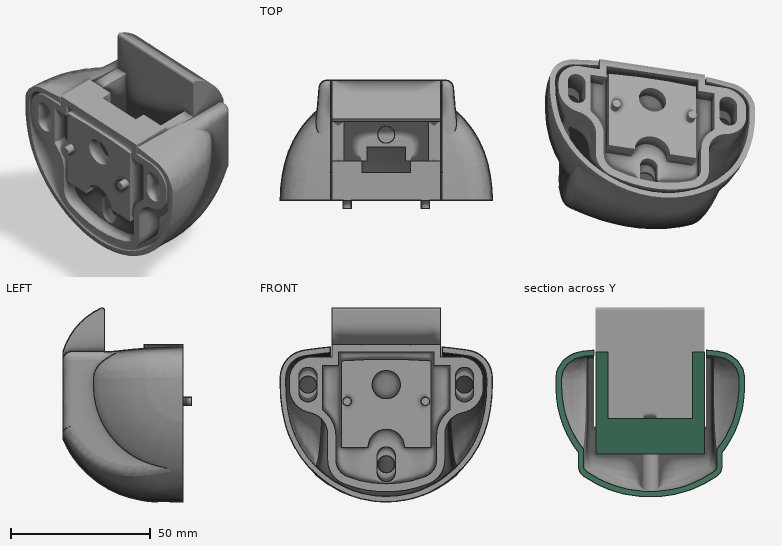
import cadquery as cq
import math

DEPTH = 43.0
HEIGHT = 69.5
HALF_WIDTH = 37.98
WALL = 2.0
OVERRUN = 5.0

LOBE_CENTER_Z = 41.7
LOBE_SIDE_RADIUS = 54.0
LOBE_SIDE_REACH = 13.0
LOBE_CROWN_Z = 56.5
LOBE_CROWN_RADIUS = 200.0
LOBE_ROUND = 10.0

HOUSING_TOP = 53.8
HOUSING_HALF_WIDTH = 27.6
HOUSING_TAPER = 5.0
HOUSING_ROUND = 3.0
HOUSING_LOWER_ROUND = 4.5
KEEL_RADIUS = 37.0
KEEL_CENTER_Y = 9.0
BELLY_RADIUS = 36.3
BELLY_FLATTENING = 0.62
SECTION_COUNT = 6

OPENING_HALF_WIDTH = 20.0
INSERT_HALF_WIDTH = 19.5
FLOOR_TOP = 30.0
FLOOR_BOTTOM = 17.0
LEDGE_BOTTOM = 27.0
POST_DIAMETER = 6.1
POST_Y = 23.5

BASE_THICKNESS = 10.0
RECESS_DEPTH = 5.0
BLOCK_TOP = 56.3
BLOCK_DEPTH = 14.0
ARM_HALF_GAP = 15.1
NOTCH_HALF_WIDTH = 8.6
FLOOR_NOTCH_HALF_WIDTH = 6.9
FLOOR_NOTCH_END_Y = 19.0
EAR_HALF_WIDTH = 34.7
EAR_TOP = 51.9
EAR_BOTTOM = 31.8
EAR_UPPER_ROUND = 8.0
EAR_LOWER_ROUND = 9.0
NECK_HALF_WIDTH = 20.95
NECK_ROUND = 8.0
FOOT_ROUND = 9.0
RECESS_FOOT_ROUND = 6.5
FOOT_RADIUS = 41.0
FOOT_BOTTOM = 3.6
RECESS_TOP = 53.7
RECESS_TOP_HALF_WIDTH = 17.0
RECESS_SHOULDER = 48.9
RECESS_HALF_WIDTH = 22.9
RECESS_WAIST = 33.2
RIM = 2.9
SCREW_Z = 42.0
SCREW_X = 28.0
LOWER_SCREW_Z = 13.5
SCREW_PLACES = [(-SCREW_X, SCREW_Z), (SCREW_X, SCREW_Z), (0, LOWER_SCREW_Z)]
SLOT_WIDTH = 6.5
SLOT_HEIGHT = 12.4
SLOT_FLOOR_Y = 9.0
SCREW_HOLE_DIAMETER = 6.1

PLATE_HALF_WIDTH = 16.1
PLATE_BOTTOM = 19.5
PLATE_SIDE_TOP = 50.5
PLATE_CROWN = 51.1
PLATE_HOLE_DIAMETER = 10.1
PLATE_CUTOUT_RADIUS = 6.5
PIN_DIAMETER = 3.0
PIN_PROTRUSION = 3.0
PIN_X = 14.0
PIN_Z = 36.0
PIN_PLACES = [(-PIN_X, PIN_Z), (PIN_X, PIN_Z)]

LATCH_FRONT_Y = 28.1
LATCH_LIP_ROUND = 1.0
LATCH_CURVE_START = 53.8
LATCH_CURVE_MIDDLE = (38.6, 62.2)


def box(x_min, x_max, y_min, y_max, z_min, z_max):
    size = (x_max - x_min, y_max - y_min, z_max - z_min)
    return cq.Workplane("XY").box(*size, centered=False).translate((x_min, y_min, z_min))


def front_plane(y):
    """XZ sketch plane at the given Y, extruding toward +Y for negative lengths."""
    return cq.Workplane("XZ", origin=(0, y, 0))


def y_cylinder(x, z, diameter, y_min, y_max):
    return front_plane(y_min).center(x, z).circle(diameter / 2).extrude(y_min - y_max)


def half_oval(inset):
    """Half oval above the X axis: a flat arc at each side, tangent to one rounder arc between them."""
    side_center_x = HALF_WIDTH - LOBE_SIDE_RADIUS
    side_angle = math.asin(LOBE_SIDE_REACH / LOBE_SIDE_RADIUS)
    apex_radius = LOBE_SIDE_RADIUS + side_center_x / math.cos(side_angle)
    apex_center_y = -side_center_x * math.tan(side_angle)

    side_radius = LOBE_SIDE_RADIUS - inset
    apex_y = apex_center_y + apex_radius - inset
    half_width = HALF_WIDTH - inset

    def side_point(angle):
        return side_center_x + side_radius * math.cos(angle), side_radius * math.sin(angle)

    middle_x, middle_y = side_point(side_angle / 2)
    joint_x, joint_y = side_point(side_angle)
    return (
        cq.Workplane("XY")
        .moveTo(half_width, 0)
        .threePointArc((middle_x, middle_y), (joint_x, joint_y))
        .threePointArc((0, apex_y), (-joint_x, joint_y))
        .threePointArc((-middle_x, middle_y), (-half_width, 0))
        .close()
    )


def lobes(inset):
    """Oval turned about X below its widest level, oval column with a rounded crown above it."""
    limit = 2 * HALF_WIDTH
    column = half_oval(inset).extrude(HEIGHT - LOBE_CENTER_Z)
    column = column.union(column.mirror("XZ")).translate((0, 0, LOBE_CENTER_Z))
    crown = cq.Workplane("XY").sphere(LOBE_CROWN_RADIUS - inset)
    crown = crown.rotate((0, 0, 0), (0, 1, 0), 90)
    crown = crown.translate((0, 0, LOBE_CROWN_Z - LOBE_CROWN_RADIUS))
    upper = column.intersect(crown).faces(">Z").edges().fillet(LOBE_ROUND - inset)

    lower = half_oval(inset).revolve(360, (0, 0, 0), (1, 0, 0)).translate((0, 0, LOBE_CENTER_Z))
    lower = lower.intersect(box(-limit, limit, -limit, limit, -limit, LOBE_CENTER_Z))
    behind_face = box(-limit, limit, 0, limit, -limit, limit)
    return upper.union(lower).intersect(behind_face)


def housing_section(y, inset):
    """Cross-section of the central housing: flat top, upright sides, belly arc below."""
    half_width = HOUSING_HALF_WIDTH - inset - y * math.tan(math.radians(HOUSING_TAPER))
    top = HOUSING_TOP - inset
    sweep = max(y - KEEL_CENTER_Y, 0)
    keel = KEEL_RADIUS - math.sqrt((KEEL_RADIUS - inset) ** 2 - sweep**2)
    belly = BELLY_RADIUS / (1 - BELLY_FLATTENING * (y / DEPTH) ** 2) - inset
    side_bottom = keel + belly - math.sqrt(belly**2 - half_width**2)
    return (
        front_plane(y)
        .moveTo(-half_width, top)
        .lineTo(-half_width, side_bottom)
        .threePointArc((0, keel), (half_width, side_bottom))
        .lineTo(half_width, top)
        .close()
        .wires()
        .val()
    )


def housing(inset):
    """Tapered central housing, rounded on every long edge except across the lower back."""
    depth = DEPTH - inset
    sections = [housing_section(depth * i / SECTION_COUNT, inset) for i in range(SECTION_COUNT + 1)]
    body = cq.Workplane(obj=cq.Solid.makeLoft(sections))
    half_depth = depth / 2
    half_height = HOUSING_TOP / 2
    lower_sides = [
        edge
        for edge in body.edges().vals()
        if abs(edge.Center().y - half_depth) < half_depth / 2 and edge.Center().z < half_height
    ]
    body = body.newObject(lower_sides).fillet(HOUSING_LOWER_ROUND - inset)
    back_edges = body.faces(">Y").edges("<X or >X or >Z").vals()
    top_edges = body.faces("<X or >X").edges(">Z").vals()
    return body.newObject(top_edges + back_edges).fillet(HOUSING_ROUND - inset)


def build_cover():
    form = housing(0).union(lobes(0))
    opening = box(
        -OPENING_HALF_WIDTH, OPENING_HALF_WIDTH, -OVERRUN, DEPTH + OVERRUN, LEDGE_BOTTOM, HEIGHT
    )
    post = cq.Workplane("XY").center(0, POST_Y).circle(POST_DIAMETER / 2).extrude(FLOOR_TOP)
    shell = form.cut(housing(WALL)).cut(lobes(WALL)).cut(opening)
    return shell.union(post.intersect(form))


def foot_rise(x, radius):
    return radius - math.sqrt(radius**2 - x**2)


def upright_edges(points):
    """Selector for the Y-parallel edges standing at the given (x, z) corners and their mirrors."""
    reach = 0.1
    boxes = [
        cq.selectors.BoxSelector((side * x - reach, -DEPTH, z - reach), (side * x + reach, DEPTH, z + reach))
        for x, z in points
        for side in (-1, 1)
    ]
    selector = boxes[0]
    for extra in boxes[1:]:
        selector = selector + extra
    return selector


def mirrored_outline(half_outline, foot_bottom, y, thickness):
    """Prism of a symmetric outline given by its right half from top to foot, closed by a foot arc."""
    left_half = [(-x, z) for x, z in half_outline]
    return (
        front_plane(y)
        .polyline(left_half[::-1] + half_outline)
        .threePointArc((0, foot_bottom), left_half[-1])
        .close()
        .extrude(-thickness)
    )


def base_outline():
    foot_corner = (NECK_HALF_WIDTH, FOOT_BOTTOM + foot_rise(NECK_HALF_WIDTH, FOOT_RADIUS))
    ear_top_corner = (EAR_HALF_WIDTH, EAR_TOP)
    ear_bottom_corner = (EAR_HALF_WIDTH, EAR_BOTTOM)
    neck_corner = (NECK_HALF_WIDTH, EAR_BOTTOM)
    outline = [ear_top_corner, ear_bottom_corner, neck_corner, foot_corner]
    body = mirrored_outline(outline, FOOT_BOTTOM, 0, BASE_THICKNESS)
    body = body.edges(upright_edges([ear_top_corner])).fillet(EAR_UPPER_ROUND)
    body = body.edges(upright_edges([ear_bottom_corner])).fillet(EAR_LOWER_ROUND)
    body = body.edges(upright_edges([neck_corner])).fillet(NECK_ROUND)
    return body.edges(upright_edges([foot_corner])).fillet(FOOT_ROUND)


def base_recess():
    waist = NECK_HALF_WIDTH - RIM
    foot_bottom = FOOT_BOTTOM + RIM
    foot_corner = (waist, foot_bottom + foot_rise(waist, FOOT_RADIUS - RIM))
    waist_corner = (waist, RECESS_WAIST - (RECESS_HALF_WIDTH - waist))
    outline = [
        (RECESS_TOP_HALF_WIDTH, RECESS_TOP),
        (RECESS_TOP_HALF_WIDTH, RECESS_SHOULDER),
        (RECESS_HALF_WIDTH, RECESS_SHOULDER),
        (RECESS_HALF_WIDTH, RECESS_WAIST),
        waist_corner,
        foot_corner,
    ]
    body = mirrored_outline(outline, foot_bottom, 0, RECESS_DEPTH)
    body = body.edges(upright_edges([waist_corner])).fillet(NECK_ROUND + RIM)
    return body.edges(upright_edges([foot_corner])).fillet(RECESS_FOOT_ROUND)


def screw_slot(x, z):
    """Upright slot with a round hole through its floor."""
    slot = front_plane(0).center(x, z).slot2D(SLOT_HEIGHT, SLOT_WIDTH, 90)
    slot = slot.extrude(-SLOT_FLOOR_Y)
    return slot.union(y_cylinder(x, z, SCREW_HOLE_DIAMETER, 0, BASE_THICKNESS))


def build_base():
    block = box(-INSERT_HALF_WIDTH, INSERT_HALF_WIDTH, 0, BLOCK_DEPTH, FLOOR_BOTTOM, BLOCK_TOP)
    ledge = box(-INSERT_HALF_WIDTH, INSERT_HALF_WIDTH, 0, DEPTH, LEDGE_BOTTOM, FLOOR_TOP)
    trough = box(-INSERT_HALF_WIDTH, INSERT_HALF_WIDTH, 0, LATCH_FRONT_Y, FLOOR_BOTTOM, HOUSING_TOP)
    trough = trough.cut(box(-ARM_HALF_GAP, ARM_HALF_GAP, 0, DEPTH, FLOOR_TOP, HEIGHT))
    notch = box(-NOTCH_HALF_WIDTH, NOTCH_HALF_WIDTH, BASE_THICKNESS, BLOCK_DEPTH, 0, HEIGHT)
    floor_notch = box(
        -FLOOR_NOTCH_HALF_WIDTH, FLOOR_NOTCH_HALF_WIDTH, BASE_THICKNESS, FLOOR_NOTCH_END_Y, 0, HEIGHT
    )
    post_hole = cq.Workplane("XY").center(0, POST_Y).circle(POST_DIAMETER / 2).extrude(HEIGHT)

    body = base_outline().union(block).union(ledge).union(trough)
    body = body.cut(base_recess()).cut(notch).cut(floor_notch).cut(post_hole)
    for x, z in SCREW_PLACES:
        body = body.cut(screw_slot(x, z))
    return body


def build_plate():
    plate = (
        front_plane(0)
        .moveTo(-PLATE_HALF_WIDTH, PLATE_BOTTOM)
        .lineTo(PLATE_HALF_WIDTH, PLATE_BOTTOM)
        .lineTo(PLATE_HALF_WIDTH, PLATE_SIDE_TOP)
        .threePointArc((0, PLATE_CROWN), (-PLATE_HALF_WIDTH, PLATE_SIDE_TOP))
        .close()
        .extrude(-RECESS_DEPTH)
    )
    plate = plate.cut(y_cylinder(0, SCREW_Z, PLATE_HOLE_DIAMETER, 0, RECESS_DEPTH))
    plate = plate.cut(y_cylinder(0, PLATE_BOTTOM, 2 * PLATE_CUTOUT_RADIUS, 0, RECESS_DEPTH))
    for x, z in PIN_PLACES:
        plate = plate.cut(y_cylinder(x, z, PIN_DIAMETER, 0, RECESS_DEPTH))
    return plate


def build_pin(x, z):
    return y_cylinder(x, z, PIN_DIAMETER, -PIN_PROTRUSION, RECESS_DEPTH)


def build_latch():
    """Upright block with a flat front and a curved back that leans forward to a narrow lip."""
    return (
        cq.Workplane("YZ", origin=(-INSERT_HALF_WIDTH, 0, 0))
        .moveTo(LATCH_FRONT_Y, FLOOR_TOP)
        .lineTo(DEPTH, FLOOR_TOP)
        .lineTo(DEPTH, LATCH_CURVE_START)
        .threePointArc(LATCH_CURVE_MIDDLE, (LATCH_FRONT_Y + LATCH_LIP_ROUND, HEIGHT))
        .radiusArc((LATCH_FRONT_Y, HEIGHT - LATCH_LIP_ROUND), -LATCH_LIP_ROUND)
        .close()
        .extrude(2 * INSERT_HALF_WIDTH)
    )


cover = build_cover()
base = build_base()
plate = build_plate()
pins = [build_pin(x, z) for x, z in PIN_PLACES]
latch = build_latch()

result = cq.Compound.makeCompound(
    [cover.val(), base.val(), plate.val(), *[pin.val() for pin in pins], latch.val()]
)